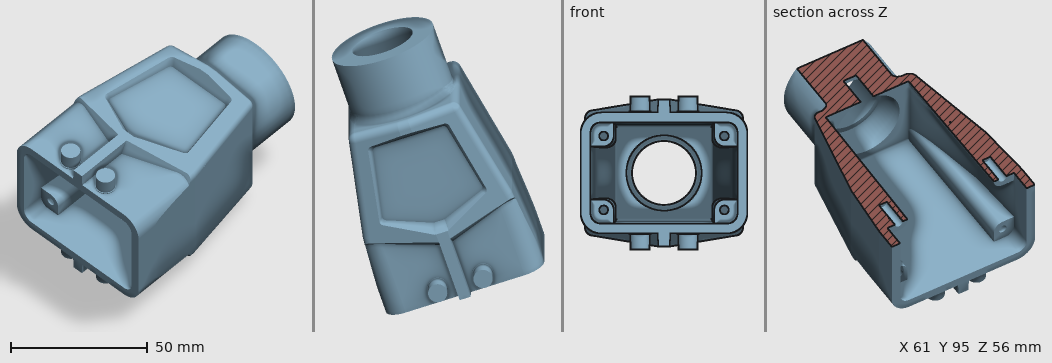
import cadquery as cq
import math


length = 95.0
mouth_width = 61.0
mouth_height = 44.2
mouth_corner = 7.6
wall = 3.6

straight_end = 9.0
crease_y = 32.0
crease_half_width = 28.7
hood_end = 72.1
hood_end_half_width = 21.0

ridge_z = 26.9
ridge_half_width = 2.2
roof_angle = 9.4
hood_rounding = 2.9
draft = 30.0
brow_center_y = 20.9
brow_slope = 0.35

recess_floor_z = 21.85
recess_corner = 1.9
recess_front_half_width = 2.7
recess_front_y = 27.0
recess_wide_y = 35.0
recess_wide_half_width = 22.8
recess_back_y = 67.45
recess_back_half_width = 16.4

collar_radius = 19.6
collar_blend = 2.6
entry_diameter = 23.3
relief_radius = 13.8
relief_end = 80.75

cavity_corner = 3.8
cavity_back_y = 68.4
cavity_back_half_width = 17.8
cavity_back_half_height = 17.5
cavity_back_rounding = 0.9

boss_inner_x = 17.6
boss_inner_z = 8.9
boss_rounding = 3.8
boss_draft = 0.75
screw_x = 22.0
screw_z = 13.5
screw_radius = 1.6
screw_depth = 11.4

pin_x = 8.7
pin_y = 5.5
pin_radius = 3.5
pin_foot_radius = 3.9
pin_foot_height = 0.4
pin_span = 56.0
rib_top_width = 4.2
rib_foot_width = 4.75
rib_end = 25.65

half_width = mouth_width / 2
half_height = mouth_height / 2
tolerance = 0.01
overlap = 0.95


def bar_along_y(profile, start, end):
    """Extrude an X-Z sketch (drawn on the mouth plane) from start to end along +Y."""
    return profile.extrude(-(end - start)).translate((0, start, 0))


def mirrored_outline(right_side):
    """Close a polyline given by its +X side, listed in order of rising Y."""
    left_side = [(-x, y) for x, y in reversed(right_side)]
    return cq.Workplane("XY").polyline(right_side + left_side).close()


def both_sides(solid):
    """Join a solid above the mid plane with its mirror image below."""
    return solid.union(solid.mirror("XY"))


def make_plan(right_side):
    """Full-height prism with a symmetric plan outline."""
    return mirrored_outline(right_side).extrude(ridge_z, both=True)


shell_plan = make_plan([
    (half_width, 0), (half_width, straight_end),
    (crease_half_width, crease_y), (hood_end_half_width, hood_end),
])


def make_hood():
    """Sharp-edged hood: a low gable roof above and below, trimmed to the plan outline."""
    roof_slope = math.tan(math.radians(roof_angle))
    edge_z = ridge_z - roof_slope * (half_width - ridge_half_width)
    section = [
        (-half_width, -edge_z), (-ridge_half_width, -ridge_z),
        (ridge_half_width, -ridge_z), (half_width, -edge_z),
        (half_width, edge_z), (ridge_half_width, ridge_z),
        (-ridge_half_width, ridge_z), (-half_width, edge_z),
    ]
    bar = bar_along_y(cq.Workplane("XZ").polyline(section).close(), straight_end, hood_end)
    return bar.intersect(shell_plan)


def round_hood(hood):
    """Round the outer edges of the hood, leaving ridges, side creases and front end sharp."""
    def is_outer(edge):
        center = edge.Center()
        at_back = center.y > hood_end - tolerance
        off_mid_plane = abs(center.z) > tolerance
        beside_roof = abs(center.x) > hood_end_half_width and off_mid_plane
        at_front = center.y < straight_end + tolerance
        return at_back or (beside_roof and not at_front)

    outer = [edge for edge in hood.edges().vals() if is_outer(edge)]
    return hood.newObject(outer).fillet(hood_rounding)


def make_brow():
    """Space kept for the upper half of the hood: its front is a drafted V."""
    reach = 3 * length
    foot_shift = half_height * math.tan(math.radians(draft)) * math.hypot(1, brow_slope)
    foot_y = brow_center_y - foot_shift
    outline = [
        (ridge_half_width, foot_y),
        (reach, foot_y + brow_slope * (reach - ridge_half_width)),
        (reach, 2 * reach),
    ]
    return mirrored_outline(outline).extrude(ridge_z, taper=draft)


def make_recess():
    """Flat-floored recess with drafted walls, outlined at the height of the hood ridge."""
    outline = mirrored_outline([
        (recess_front_half_width, recess_front_y),
        (recess_wide_half_width, recess_wide_y),
        (recess_back_half_width, recess_back_y),
    ])
    recess = outline.extrude(ridge_z - recess_floor_z, taper=draft)
    recess = recess.mirror("XY").translate((0, 0, ridge_z))
    corners = [
        edge for edge in recess.edges("not #Z").vals()
        if abs(edge.Center().x) > recess_front_half_width
    ]
    return recess.newObject(corners).fillet(recess_corner)


def make_shell():
    """Rounded mouth section joined to the hood."""
    section = cq.Workplane("XZ").rect(mouth_width, mouth_height)
    base = bar_along_y(section, 0, crease_y + mouth_corner).edges("|Y").fillet(mouth_corner).intersect(shell_plan)
    hood = round_hood(make_hood())
    hood = hood.intersect(both_sides(make_brow()))
    return base.union(hood)


def add_collar(shell):
    """Add the round collar and blend its foot into the end of the hood."""
    collar = bar_along_y(cq.Workplane("XZ").circle(collar_radius), cavity_back_y, length)
    joined = shell.union(collar)
    foot = cq.selectors.BoxSelector(
        (-half_width, hood_end - hood_rounding, -half_width),
        (half_width, hood_end + tolerance, half_width))
    foot_edges = [
        edge for edge in joined.edges(foot).vals()
        if abs(math.hypot(edge.startPoint().x, edge.startPoint().z) - collar_radius) < tolerance
    ]
    return joined.newObject(foot_edges).fillet(collar_blend)


def make_bosses():
    """Four corner columns that carry the screw holes, thickest at the back of the cavity."""
    columns = (
        cq.Workplane("XZ", origin=(0, cavity_back_y, 0))
        .rect(2 * boss_inner_x + half_width, 2 * boss_inner_z + half_height, forConstruction=True)
        .vertices()
        .rect(half_width, half_height)
        .extrude(cavity_back_y - straight_end, taper=boss_draft)
    )
    inner_edges = cq.selectors.BoxSelector(
        (-screw_x, straight_end + tolerance, -screw_z),
        (screw_x, cavity_back_y - tolerance, screw_z))
    columns = columns.edges(inner_edges).fillet(boss_rounding)
    holes = (
        cq.Workplane("XZ")
        .rect(2 * screw_x, 2 * screw_z, forConstruction=True)
        .vertices()
        .circle(screw_radius)
    )
    return columns.cut(bar_along_y(holes, straight_end, straight_end + screw_depth))


def make_cavity():
    """Tapered hollow with rounded mouth corners, less the screw bosses."""
    inner_x = half_width - wall
    inner_z = half_height - wall
    bar = cq.Workplane("XZ").rect(2 * inner_x, 2 * inner_z)
    bar = bar_along_y(bar, 0, cavity_back_y).edges("|Y").fillet(cavity_corner)
    plan = make_plan([
        (inner_x, 0), (inner_x, straight_end),
        (crease_half_width - wall, crease_y), (cavity_back_half_width, cavity_back_y),
    ])
    height_profile = [
        (0, -inner_z), (cavity_back_y, -cavity_back_half_height),
        (cavity_back_y, cavity_back_half_height), (0, inner_z),
    ]
    wedge = cq.Workplane("YZ").polyline(height_profile).close().extrude(mouth_width, both=True)
    hollow = bar.intersect(plan).intersect(wedge)
    hollow = hollow.faces(">Y").edges().fillet(cavity_back_rounding)
    return hollow.cut(make_bosses())


def make_bore():
    """Wide relief behind the cavity, then the narrower cable entry."""
    relief = bar_along_y(cq.Workplane("XZ").circle(relief_radius), cavity_back_y - overlap, relief_end)
    entry = bar_along_y(cq.Workplane("XZ").circle(entry_diameter / 2), relief_end - overlap, length)
    return relief.union(entry)


def make_pins():
    """Pair of locking pins on the upper face, each with a slightly wider foot."""
    centers = [(-pin_x, pin_y), (pin_x, pin_y)]
    root_z = half_height - wall / 2
    pins = cq.Workplane("XY").workplane(offset=root_z).pushPoints(centers).circle(pin_radius)
    pins = pins.extrude(pin_span / 2 - root_z)
    feet = cq.Workplane("XY").workplane(offset=root_z).pushPoints(centers).circle(pin_foot_radius)
    return pins.union(feet.extrude(half_height + pin_foot_height - root_z))


def make_rib():
    """Centre rib from the mouth to the front of the hood, slightly wider at its foot."""
    root_z = half_height - wall / 2
    section = [
        (-rib_foot_width / 2, root_z), (rib_foot_width / 2, root_z),
        (rib_top_width / 2, ridge_z), (-rib_top_width / 2, ridge_z),
    ]
    return bar_along_y(cq.Workplane("XZ").polyline(section).close(), 0, rib_end)


body = add_collar(make_shell())
body = body.union(both_sides(make_pins().union(make_rib())))
body = body.cut(make_recess()).cut(make_recess().mirror("XY"))
result = body.cut(make_cavity()).cut(make_bore())